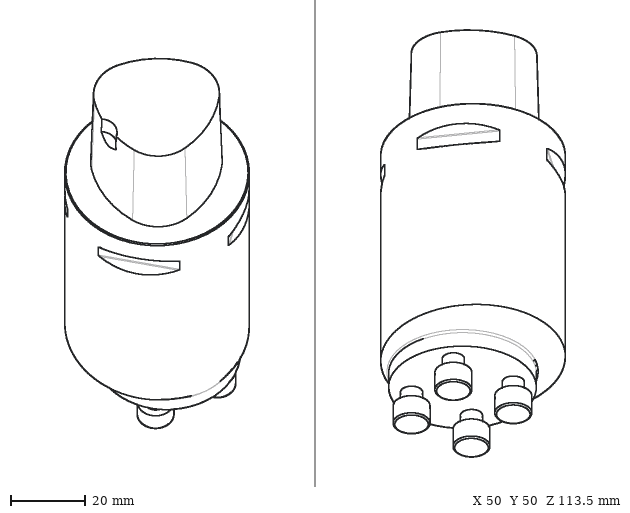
import cadquery as cq
import math

total_height = 113.5
shank_height = 30.0
body_top = total_height - shank_height
head_height = 6.0
plate_bottom = 10.5
plate_top = 15.4

body_diameter = 50.0
body_radius = body_diameter / 2
rim_chamfer = 0.3

plate_diameter = 40.0
plate_radius = plate_diameter / 2
plate_offset = body_radius - plate_radius
cone_angle = math.radians(15)

neck_fillet = 0.7
neck_setback = neck_fillet * math.tan((math.pi / 2 - cone_angle) / 2)
neck_bottom = plate_top - neck_setback

bolt_spacing = 19.8
stem_diameter = 6.0
head_diameter = 10.0
head_chamfer = 0.5

lobe_reach = 18.7
side_reach = 16.3
lobe_radius = 11.7
lobe_count = 3
lobe_pitch = 360 / lobe_count
first_lobe_direction = 90
shank_taper = math.degrees(math.atan(1 / 40))

notch_radius = 4.5
notch_back = 13.6
notch_depth = 5.6
notch_tip_height = 3.6

groove_z = 73.6
groove_floor_height = 3.6
groove_depth = 2.7
groove_flank_angle = math.radians(30)
groove_fillet = 0.3
groove_directions = (45, 135, 225, 315)


def polar(radius, degrees):
    angle = math.radians(degrees)
    return (radius * math.cos(angle), radius * math.sin(angle))


def make_body():
    """Cylinder trimmed below by a shallow cone that is filleted down to the plate."""
    cylinder = (
        cq.Workplane("XY")
        .workplane(offset=neck_bottom)
        .circle(body_radius)
        .extrude(body_top - neck_bottom)
        .faces(">Z")
        .chamfer(rim_chamfer)
    )
    fillet_end_x = plate_radius + neck_setback * math.cos(cone_angle)
    fillet_end_z = plate_top + neck_setback * math.sin(cone_angle)
    cone_reach = body_diameter
    cone_end_z = plate_top + (cone_reach - plate_radius) * math.tan(cone_angle)
    envelope = (
        cq.Workplane("XZ")
        .moveTo(0, neck_bottom)
        .lineTo(plate_radius, neck_bottom)
        .radiusArc((fillet_end_x, fillet_end_z), neck_fillet)
        .lineTo(cone_reach, cone_end_z)
        .lineTo(cone_reach, total_height)
        .lineTo(0, total_height)
        .close()
        .revolve()
    )
    return cylinder.intersect(envelope.translate((plate_offset, 0, 0)))


def make_plate():
    """Eccentric round plate below the neck fillet."""
    return (
        cq.Workplane("XY")
        .workplane(offset=plate_bottom)
        .center(plate_offset, 0)
        .circle(plate_radius)
        .extrude(neck_bottom - plate_bottom)
    )


def make_bolts():
    """Four bolts, each a chamfered round head below a thinner stem."""

    def bolt_centers(z):
        return (
            cq.Workplane("XY")
            .workplane(offset=z)
            .center(plate_offset, 0)
            .rarray(bolt_spacing, bolt_spacing, 2, 2)
        )

    heads = bolt_centers(0).circle(head_diameter / 2).extrude(head_height)
    heads = heads.faces("<Z").chamfer(head_chamfer)
    stems = bolt_centers(head_height).circle(stem_diameter / 2).extrude(plate_bottom - head_height)
    return heads.union(stems)


def make_shank():
    """Three lobe arcs joined by three flatter arcs tangent to them."""
    lobe_center = lobe_reach - lobe_radius
    reach_gap = side_reach - lobe_radius
    side_center = (lobe_center**2 - reach_gap**2) / (2 * reach_gap - lobe_center)
    side_radius = side_center + side_reach

    center_distance = side_radius - lobe_radius
    joint_turn = math.asin(side_center * math.sin(math.radians(lobe_pitch)) / center_distance)
    joint_x = lobe_center + lobe_radius * math.cos(joint_turn)
    joint_y = lobe_radius * math.sin(joint_turn)
    joint_reach = math.hypot(joint_x, joint_y)
    joint_angle = math.degrees(math.atan2(joint_y, joint_x))

    outline = cq.Workplane("XY").workplane(offset=body_top)
    outline = outline.moveTo(*polar(joint_reach, first_lobe_direction - joint_angle))
    for index in range(lobe_count):
        direction = first_lobe_direction + index * lobe_pitch
        next_direction = direction + lobe_pitch
        outline = outline.threePointArc(
            polar(lobe_reach, direction),
            polar(joint_reach, direction + joint_angle),
        )
        outline = outline.threePointArc(
            polar(side_reach, direction + lobe_pitch / 2),
            polar(joint_reach, next_direction - joint_angle),
        )
    return outline.close().extrude(shank_height, taper=shank_taper)


def make_notch():
    """Vertical round cutter with a conical tip."""
    floor_z = total_height - notch_depth
    return (
        cq.Workplane("XZ")
        .moveTo(0, total_height)
        .lineTo(notch_radius, total_height)
        .lineTo(notch_radius, floor_z)
        .lineTo(0, floor_z - notch_tip_height)
        .close()
        .revolve()
        .translate((0, -notch_back - notch_radius, 0))
    )


def make_groove():
    """Straight trapezoidal groove across the +X side of the body."""
    floor_half = groove_floor_height / 2
    mouth_half = floor_half + 2 * groove_depth * math.tan(groove_flank_angle)
    floor_x = body_radius - groove_depth
    mouth_x = body_radius + groove_depth
    return (
        cq.Workplane("XZ")
        .moveTo(floor_x, groove_z - floor_half)
        .lineTo(mouth_x, groove_z - mouth_half)
        .lineTo(mouth_x, groove_z + mouth_half)
        .lineTo(floor_x, groove_z + floor_half)
        .close()
        .extrude(body_radius, both=True)
        .edges("<X")
        .fillet(groove_fillet)
    )


result = make_body().union(make_plate()).union(make_bolts())
result = result.union(make_shank().cut(make_notch()))
for groove_direction in groove_directions:
    result = result.cut(make_groove().rotate((0, 0, 0), (0, 0, 1), groove_direction))